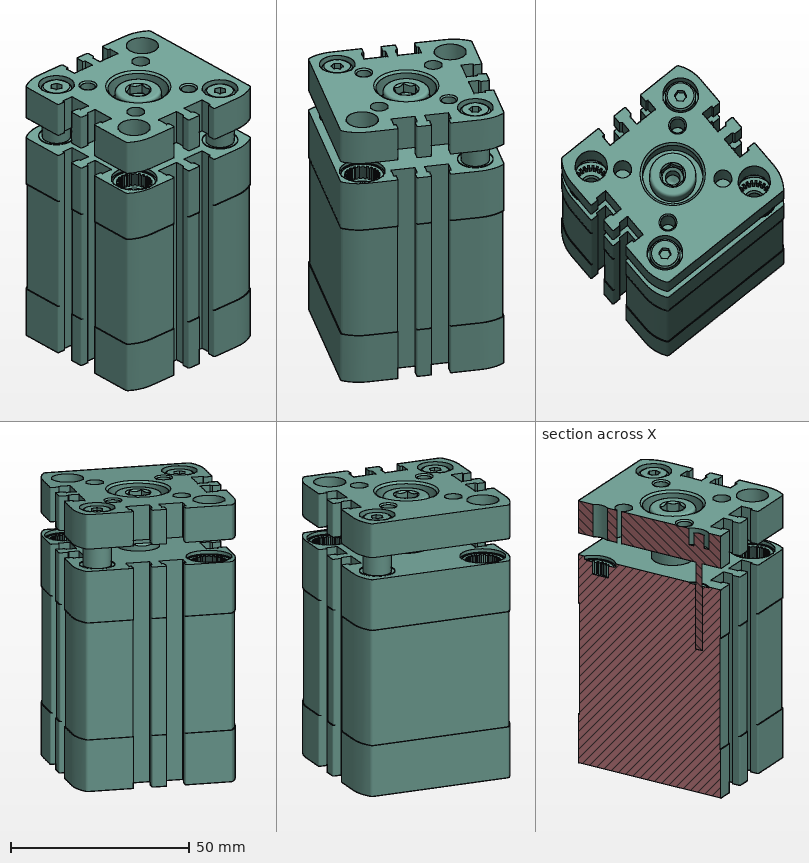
import cadquery as cq
import math

cap_height = 15.0
barrel_height = 34.0
housing_top = 2 * cap_height + barrel_height
overall_height = 80.5
plate_thickness = 10.0
plate_bottom = overall_height - plate_thickness

width = 47.0
half = width / 2
barrel_inset = 0.25
corner_arc_radius = 12.0
corner_arc_start = 16.25
corner_arc_centre = half - corner_arc_radius
corner_fillet = 1.0

slot_depth = 5.9
slot_lip_depth = 2.5
slot_mouth_outer = 7.55
slot_cavity_outer = 8.25
slot_web_half = 1.4
slot_head_half = 2.1
slot_head_bevel = 0.5
slot_edge_radius = 0.35
slot_overcut = 1.0
slot_angles = (0, 90, -90)

corner_offset = 16.25
guide_points = [(-corner_offset, -corner_offset), (corner_offset, corner_offset)]
fixing_points = [(-corner_offset, corner_offset), (corner_offset, -corner_offset)]

piston_rod_diameter = 12.0
piston_rod_insertion = 20.0
wrench_flat_width = 10.2
wrench_flat_bottom = 66.0
wrench_flat_ramp = 0.6

guide_rod_diameter = 8.0
guide_rod_insertion = 20.0
guide_recess_diameter = 10.0
guide_recess_depth = 0.25

centre_recess_diameter = 17.0
centre_recess_chamfer = 0.65
centre_recess_depth = 6.0
piston_head_diameter = 13.0
piston_head_sink = 1.0
piston_head_fillet = 0.85
piston_socket_width = 6.0
piston_socket_depth = 2.9
piston_socket_mouth = 7.2
piston_thread_diameter = 4.13
piston_thread_depth = 8.0
drill_point_half_angle = math.radians(59)

guide_head_diameter = 8.5
guide_head_sink = 0.6
guide_head_chamfer = 0.5
guide_counterbore_depth = 5.0
guide_socket_width = 3.0
guide_socket_depth = 2.5
guide_socket_turn = 15.0

access_hole_diameter = 9.0
mounting_offset = 10.0
dowel_diameter = 5.0
thread_diameter = 4.13
dowel_points = [(-mounting_offset, mounting_offset), (mounting_offset, -mounting_offset)]
thread_points = [(-mounting_offset, -mounting_offset), (mounting_offset, mounting_offset)]

fixing_rim_diameter = 12.8
fixing_rim_depth = 1.0
fixing_collar_diameter = 11.9
fixing_collar_depth = 1.2
fixing_bore_diameter = 8.57
fixing_spline_diameter = 10.0
groove_count = 24
groove_width = 0.55
fixing_bore_depth = 4.9
fixing_chamfer_diameter = 6.1
fixing_thread_diameter = 4.92


def cylinder(points, diameter, bottom, top):
    """Upright cylinders of one diameter at the given points."""
    base = cq.Workplane("XY", origin=(0, 0, bottom))
    return base.pushPoints(points).circle(diameter / 2).extrude(top - bottom)


def cone(points, lower_diameter, upper_diameter, bottom, top):
    """Upright truncated cones at the given points."""
    solid = cq.Solid.makeCone(lower_diameter / 2, upper_diameter / 2, top - bottom)
    return cq.Workplane("XY").pushPoints(points).eachpoint(solid.translate((0, 0, bottom)))


def hexagon(points, across_flats, bottom, top, turn=0.0):
    """Upright hexagonal prisms, with a corner toward +X before each is turned about its own axis."""
    across_corners = across_flats / math.cos(math.pi / 6)
    prism = cq.Workplane("XY").polygon(6, across_corners).extrude(top - bottom)
    prism = prism.rotate((0, 0, 0), (0, 0, 1), turn)
    return cq.Workplane("XY").pushPoints(points).eachpoint(prism.val().translate((0, 0, bottom)))


def rounded_block(bottom, height, inset):
    """Square block whose four corners are arcs running out of the X sides into short fillets."""
    side = half - inset
    arc_radius = corner_arc_radius - inset
    rise = half - corner_arc_start - inset
    mid_angle = math.asin(rise / arc_radius) / 2
    mid_x = corner_arc_centre + arc_radius * math.cos(mid_angle)
    mid_y = corner_arc_start + arc_radius * math.sin(mid_angle)
    end_x = corner_arc_centre + math.sqrt(arc_radius ** 2 - rise ** 2)
    block = (
        cq.Workplane("XY", origin=(0, 0, bottom))
        .moveTo(side, -corner_arc_start)
        .lineTo(side, corner_arc_start)
        .threePointArc((mid_x, mid_y), (end_x, side))
        .lineTo(-end_x, side)
        .threePointArc((-mid_x, mid_y), (-side, corner_arc_start))
        .lineTo(-side, -corner_arc_start)
        .threePointArc((-mid_x, -mid_y), (-end_x, -side))
        .lineTo(end_x, -side)
        .threePointArc((mid_x, -mid_y), (side, -corner_arc_start))
        .close()
        .extrude(height)
    )
    for x in (-end_x, end_x):
        for y in (-side, side):
            edge_middle = (x, y, bottom + height / 2)
            block = block.edges(cq.selectors.NearestToPointSelector(edge_middle)).fillet(corner_fillet)
    return block


def slot_cutter(bottom, height, inset):
    """The six slots of the profile, cut in from side faces moved inward by the inset."""
    face = -half + inset
    lip = -half + slot_lip_depth
    floor = -half + slot_depth
    bevel_end = lip + slot_head_bevel
    edge_end = face + slot_edge_radius
    mouth_end = slot_mouth_outer + slot_edge_radius
    arc_sag = slot_edge_radius * (1 - math.cos(math.pi / 4))
    outside = face - slot_overcut
    pair = cq.Workplane("XY")
    for side in (-1, 1):
        slot = (
            cq.Workplane("XY", origin=(0, 0, bottom))
            .moveTo(side * (slot_head_half - slot_edge_radius), outside)
            .lineTo(side * (slot_head_half - slot_edge_radius), face)
            .threePointArc((side * (slot_head_half - arc_sag), face + arc_sag), (side * slot_head_half, edge_end))
            .lineTo(side * slot_head_half, lip)
            .lineTo(side * slot_web_half, bevel_end)
            .lineTo(side * slot_web_half, floor)
            .lineTo(side * slot_cavity_outer, floor)
            .lineTo(side * slot_cavity_outer, lip)
            .lineTo(side * slot_mouth_outer, lip)
            .lineTo(side * slot_mouth_outer, edge_end)
            .threePointArc((side * (slot_mouth_outer + arc_sag), face + arc_sag), (side * mouth_end, face))
            .lineTo(side * mouth_end, outside)
            .close()
            .extrude(height)
        )
        pair = pair.add(slot)
    cutter = cq.Workplane("XY")
    for angle in slot_angles:
        cutter = cutter.add(pair.rotate((0, 0, 0), (0, 0, 1), angle))
    return cutter


def profile(bottom, height, inset=0.0):
    """One length of the slotted profile."""
    block = rounded_block(bottom, height, inset)
    for slot in slot_cutter(bottom, height, inset).vals():
        block = block.cut(cq.Workplane(slot))
    return block


def piston_rod():
    """Piston rod with two wrench flats facing -Y and +Y."""
    rod = cylinder([(0, 0)], piston_rod_diameter, housing_top - piston_rod_insertion, plate_bottom)
    flat = wrench_flat_width / 2
    rod_radius = piston_rod_diameter / 2
    for side in (-1, 1):
        cutter = (
            cq.Workplane("YZ", origin=(-rod_radius, 0, 0))
            .moveTo(side * flat, plate_bottom)
            .lineTo(side * flat, wrench_flat_bottom)
            .lineTo(side * rod_radius, wrench_flat_bottom - wrench_flat_ramp)
            .lineTo(side * rod_radius, plate_bottom)
            .close()
            .extrude(piston_rod_diameter)
        )
        rod = rod.cut(cutter)
    return rod


def guide_rods():
    """Two plain guide rods."""
    return cylinder(guide_points, guide_rod_diameter, housing_top - guide_rod_insertion, plate_bottom)


def piston_head():
    """Round screw head on the end of the piston rod, before its socket is cut."""
    top = overall_height - piston_head_sink
    floor = overall_height - centre_recess_depth
    return cylinder([(0, 0)], piston_head_diameter, floor, top).edges(">Z").fillet(piston_head_fillet)


def piston_socket():
    """Hexagon socket with a countersunk mouth, ending in a conical threaded hole."""
    top = overall_height - piston_head_sink
    socket_floor = top - piston_socket_depth
    thread_end = top - piston_thread_depth
    mouth_depth = (piston_socket_mouth - piston_socket_width) / 2
    point_slope = math.tan(drill_point_half_angle)
    countersink_depth = (piston_socket_width - piston_thread_diameter) / 2 / point_slope
    point_depth = piston_thread_diameter / 2 / point_slope
    centre = [(0, 0)]
    socket = hexagon(centre, piston_socket_width, socket_floor, top)
    socket = socket.union(cone(centre, piston_socket_width, piston_socket_mouth, top - mouth_depth, top))
    socket = socket.union(
        cone(centre, piston_thread_diameter, piston_socket_width, socket_floor - countersink_depth, socket_floor)
    )
    socket = socket.union(cylinder(centre, piston_thread_diameter, thread_end, socket_floor))
    return socket.union(cone(centre, 0, piston_thread_diameter, thread_end - point_depth, thread_end))


def guide_heads():
    """Guide screw heads with hexagon sockets."""
    top = overall_height - guide_head_sink
    floor = overall_height - guide_counterbore_depth
    heads = cylinder(guide_points, guide_head_diameter, floor, top).faces(">Z").chamfer(guide_head_chamfer)
    return heads.cut(hexagon(guide_points, guide_socket_width, top - guide_socket_depth, top, guide_socket_turn))


def moving_plate():
    """Plate carrying the piston rod, the guide rods and their screw heads, as one solid."""
    top = overall_height
    plate = profile(plate_bottom, plate_thickness)
    centre = [(0, 0)]
    centre_mouth = centre_recess_diameter + 2 * centre_recess_chamfer
    plate = plate.cut(cylinder(centre, centre_recess_diameter, top - centre_recess_depth, top))
    plate = plate.cut(cone(centre, centre_recess_diameter, centre_mouth, top - centre_recess_chamfer, top))
    plate = plate.cut(cylinder(guide_points, guide_recess_diameter, top - guide_counterbore_depth, top))
    plate = plate.cut(cylinder(fixing_points, access_hole_diameter, plate_bottom, top))
    plate = plate.cut(cylinder(dowel_points, dowel_diameter, plate_bottom, top))
    plate = plate.cut(cylinder(thread_points, thread_diameter, plate_bottom, top))
    thread_chamfer = (dowel_diameter - thread_diameter) / 2
    plate = plate.cut(cone(thread_points, thread_diameter, dowel_diameter, top - thread_chamfer, top))
    plate = plate.union(piston_rod()).union(guide_rods()).union(piston_head()).union(guide_heads())
    return plate.cut(piston_socket())


def splined_bores():
    """Bores with straight spline grooves around them."""
    seat = housing_top - fixing_bore_depth
    groove_reach = fixing_spline_diameter / 2
    bore = cq.Workplane("XY").circle(fixing_bore_diameter / 2).extrude(fixing_bore_depth)
    groove = cq.Workplane("XY").center(groove_reach / 2, 0).rect(groove_reach, groove_width)
    groove = groove.extrude(fixing_bore_depth)
    for index in range(groove_count):
        bore = bore.union(groove.rotate((0, 0, 0), (0, 0, 1), index * 360 / groove_count))
    return cq.Workplane("XY").pushPoints(fixing_points).eachpoint(bore.val().translate((0, 0, seat)))


def housing():
    """Slotted housing: two end caps with a slightly narrower barrel between them."""
    top = housing_top
    body = profile(0, cap_height)
    body = body.union(profile(cap_height, barrel_height, barrel_inset))
    body = body.union(profile(cap_height + barrel_height, cap_height))
    body = body.cut(cylinder([(0, 0)], piston_rod_diameter, top - piston_rod_insertion, top))
    body = body.cut(cylinder(guide_points, guide_rod_diameter, top - guide_rod_insertion, top))
    body = body.cut(cylinder(guide_points, guide_recess_diameter, top - guide_recess_depth, top))
    body = body.cut(cylinder(fixing_points, fixing_rim_diameter, top - fixing_rim_depth, top))
    body = body.cut(cylinder(fixing_points, fixing_collar_diameter, top - fixing_collar_depth, top))
    body = body.cut(splined_bores())
    body = body.cut(cylinder(fixing_points, fixing_thread_diameter, 0, top))
    seat = top - fixing_bore_depth
    chamfer = (fixing_chamfer_diameter - fixing_thread_diameter) / 2
    return body.cut(cone(fixing_points, fixing_thread_diameter, fixing_chamfer_diameter, seat - chamfer, seat))


result = cq.Compound.makeCompound([housing().val(), moving_plate().val()])